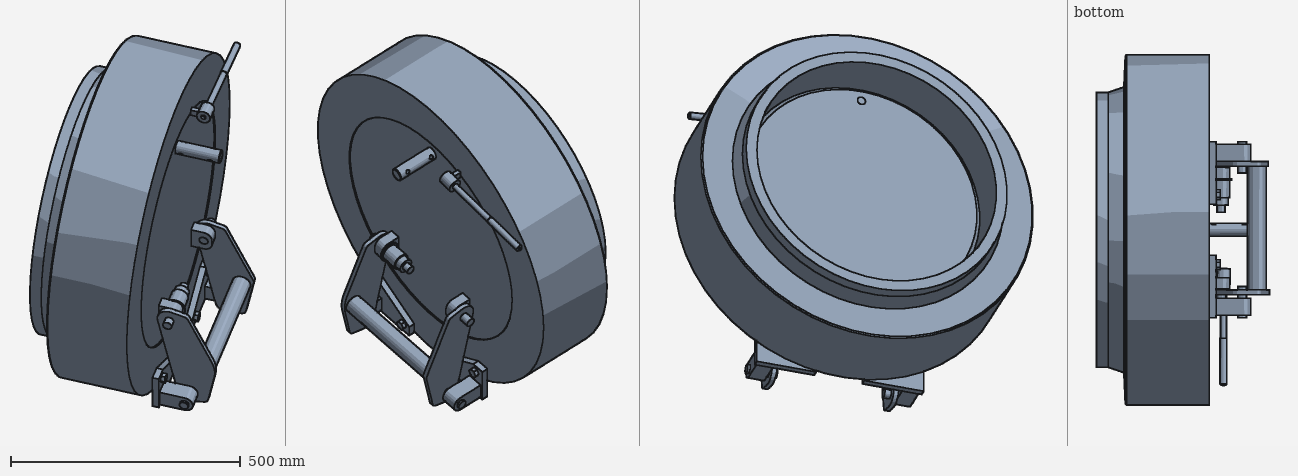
import cadquery as cq
import math


housing_radius = 382.0
back_x = 246.0
bore_radius = 275.0
neck_radius = 300.0
neck_length = 26.0
flare_end_x = 60.0
flare_end_radius = 311.0
shoulder_x = 63.0
rim_chamfer = 3.0

lever_x = 277.0
lever_z = 259.0
lever_y = 102.0
lever_tilt = 5
collar_radius = 15.0
collar_length = 33.0
collar_hole_radius = 5.0
collar_hole_depth = 8.0
rod_radius = 7.0
grip_radius = 8.0
grip_start = 135.0
grip_end = 238.0
grip_chamfer = 3.0
stub_inner_y = 92.0
stub_outer_y = 102.0
stub_height = 15.0

door_front_x = 103.0
door_back_x = 243.0
door_chamfer = 10.0

vent_z = 241.5
vent_radius = 14.5
vent_end_x = 343.5
vent_shank_radius = 9.0
vent_end_chamfer = 1.5
vent_hole_diameter = 9.0
vent_hole_xs = (255.0, 322.0)
vent_hole_tilt = 25

door_axis_x = 271.5
door_axis_z = -147.0
bracket_axis_x = 317.5
bracket_axis_z = -357.0
hinge_pin_radius = 10.0

door_lug_thickness = 24.5
door_lug_gap = 2.0
door_lug_half_height = 25.0
door_lug_round = 19.0

plate_thickness = 14.5
plate_inner_y = 55.0
plate_outer_y = 192.0
plate_slope_y = 161.0
plate_bottom_z = -380.0
plate_top_z = -291.5
plate_inner_top_z = -353.0
bracket_lug_inner_y = 149.0
bracket_lug_outer_y = 186.0
bracket_lug_radius = 19.0
bolt_head_flats = 19.0
bolt_head_height = 9.0
bolt_places = ((169.0, -309.0), (76.0, -359.0))

arm_thickness = 11.0
arm_inner_y = {1: 131.0, -1: -138.0}
arm_tip_round = {1: 11.5, -1: 77.0}
arm_end_radius = 27.5
arm_top_corner = (311.0, -126.5)
arm_tip = (378.0, -270.0)
arm_bottom_corner = (358.0, -376.5)
arm_corner_round = 11.5
tube_radius = 21.0
tube_x = 350.0
tube_z = -284.0
bracket_pin_inner_y = 123.5
bracket_pin_outer_y = 192.0
door_pin_outer_y = 165.0
hinge_stack = ((24.0, 4.0), (19.0, 37.5), (16.0, 16.0), (9.0, 16.0))


def y_cylinder(radius, x, z, y_start, y_end):
    """Cylinder along Y between two y places."""
    return cq.Workplane("XZ", origin=(x, y_start, z)).circle(radius).extrude(y_start - y_end)


def x_cylinder(radius, z, x_start, x_end):
    """Cylinder along X at y = 0."""
    return cq.Workplane("YZ", origin=(x_start, 0, z)).circle(radius).extrude(x_end - x_start)


def make_lever():
    """Collar, rod and grip, welded to the end of the housing by a short stub."""
    half_collar = collar_length / 2
    lever = (
        y_cylinder(collar_radius, 0, 0, -half_collar, half_collar)
        .cut(y_cylinder(collar_hole_radius, 0, 0, -half_collar, collar_hole_depth - half_collar))
        .union(y_cylinder(rod_radius, 0, 0, 0, grip_start))
        .union(y_cylinder(grip_radius, 0, 0, grip_start, grip_end).faces(">Y").chamfer(grip_chamfer))
        .rotate((0, 0, 0), (1, 0, 0), -lever_tilt)
        .translate((lever_x, lever_y, lever_z))
    )
    stub = cq.Workplane("XY", origin=(back_x, stub_inner_y, lever_z)).box(
        lever_x - back_x, stub_outer_y - stub_inner_y, stub_height, centered=(False, False, True)
    )
    return lever.union(stub)


def make_housing():
    profile = [
        (0, bore_radius),
        (0, neck_radius),
        (neck_length, neck_radius),
        (flare_end_x, flare_end_radius),
        (shoulder_x, housing_radius - rim_chamfer),
        (shoulder_x + rim_chamfer, housing_radius),
        (back_x, housing_radius),
        (back_x, bore_radius),
    ]
    housing = cq.Workplane("XY").polyline(profile).close().revolve(360, (0, 0, 0), (1, 0, 0))
    return housing.union(make_lever())


def door_lug_inner_y(side):
    return arm_inner_y[side] - side * (door_lug_gap + door_lug_thickness)


def make_door_lug(side):
    inner_y = door_lug_inner_y(side)
    outer_y = inner_y + side * door_lug_thickness
    lug = (
        cq.Workplane("XY", origin=(door_back_x, (inner_y + outer_y) / 2, door_axis_z))
        .box(
            door_axis_x + door_lug_round - door_back_x,
            door_lug_thickness,
            2 * door_lug_half_height,
            centered=(False, True, True),
        )
        .edges(">X and |Y")
        .fillet(door_lug_round)
    )
    return lug.cut(y_cylinder(hinge_pin_radius, door_axis_x, door_axis_z, inner_y, outer_y))


def make_door():
    door = x_cylinder(bore_radius, 0, door_front_x, door_back_x).faces("<X").chamfer(door_chamfer)
    for side in (1, -1):
        door = door.union(make_door_lug(side))
    return door.cut(x_cylinder(vent_shank_radius, vent_z, door_front_x, door_back_x))


def make_vent_pin():
    pin = (
        x_cylinder(vent_radius, vent_z, door_back_x, vent_end_x)
        .faces(">X")
        .chamfer(vent_end_chamfer)
        .union(x_cylinder(vent_shank_radius, vent_z, door_front_x, door_back_x))
    )
    for x in vent_hole_xs:
        hole = y_cylinder(vent_hole_diameter / 2, x, vent_z, -2 * vent_radius, 2 * vent_radius)
        pin = pin.cut(hole.rotate((0, 0, vent_z), (1, 0, vent_z), vent_hole_tilt))
    return pin


def make_bracket(side):
    plate_profile = [
        (side * plate_inner_y, plate_bottom_z),
        (side * plate_inner_y, plate_inner_top_z),
        (side * plate_slope_y, plate_top_z),
        (side * plate_outer_y, plate_top_z),
        (side * plate_outer_y, plate_bottom_z),
    ]
    bracket = (
        cq.Workplane("YZ", origin=(back_x, 0, 0)).polyline(plate_profile).close().extrude(plate_thickness)
    )
    lug_inner = side * bracket_lug_inner_y
    lug_outer = side * bracket_lug_outer_y
    lug_bar = cq.Workplane("XY", origin=(back_x, (lug_inner + lug_outer) / 2, bracket_axis_z)).box(
        bracket_axis_x - back_x,
        bracket_lug_outer_y - bracket_lug_inner_y,
        2 * bracket_lug_radius,
        centered=(False, True, True),
    )
    lug_end = y_cylinder(bracket_lug_radius, bracket_axis_x, bracket_axis_z, lug_inner, lug_outer)
    hole = y_cylinder(hinge_pin_radius, bracket_axis_x, bracket_axis_z, lug_inner, lug_outer)
    bracket = bracket.union(lug_bar).union(lug_end).cut(hole)
    for y, z in bolt_places:
        head = (
            cq.Workplane("YZ", origin=(back_x + plate_thickness, side * y, z))
            .polygon(6, bolt_head_flats / math.cos(math.radians(30)))
            .extrude(bolt_head_height)
        )
        bracket = bracket.union(head)
    return bracket


def make_arm(side):
    """Flat arm: two round ends around the hinge axes and a pointed bulge on the outer side."""
    lean = math.atan2(bracket_axis_x - door_axis_x, door_axis_z - bracket_axis_z)
    left_x = -arm_end_radius * math.cos(lean)
    left_z = -arm_end_radius * math.sin(lean)
    start_y = arm_inner_y[side] + max(side, 0) * arm_thickness
    plane = cq.Workplane("XZ", origin=(0, start_y, 0))
    body = (
        plane.moveTo(door_axis_x + left_x, door_axis_z + left_z)
        .lineTo(door_axis_x - left_z, door_axis_z - left_x)
        .lineTo(*arm_top_corner)
        .lineTo(*arm_tip)
        .lineTo(*arm_bottom_corner)
        .lineTo(bracket_axis_x - left_z, bracket_axis_z + left_x)
        .lineTo(bracket_axis_x + left_x, bracket_axis_z + left_z)
        .close()
        .extrude(arm_thickness)
    )
    for corner, radius in (
        (arm_top_corner, arm_corner_round),
        (arm_tip, arm_tip_round[side]),
        (arm_bottom_corner, arm_corner_round),
    ):
        place = (corner[0], start_y, corner[1])
        body = body.edges("|Y").edges(cq.selectors.NearestToPointSelector(place)).fillet(radius)
    for x, z in ((door_axis_x, door_axis_z), (bracket_axis_x, bracket_axis_z)):
        body = body.union(plane.center(x, z).circle(arm_end_radius).extrude(arm_thickness))
    return body


def make_swing_frame():
    frame = y_cylinder(tube_radius, tube_x, tube_z, arm_inner_y[-1], arm_inner_y[1])
    for side in (1, -1):
        bracket_pin = y_cylinder(
            hinge_pin_radius,
            bracket_axis_x,
            bracket_axis_z,
            side * bracket_pin_inner_y,
            side * bracket_pin_outer_y,
        )
        door_pin = y_cylinder(
            hinge_pin_radius,
            door_axis_x,
            door_axis_z,
            door_lug_inner_y(side),
            side * door_pin_outer_y,
        )
        frame = frame.union(make_arm(side)).union(bracket_pin).union(door_pin)
    stack_y = door_lug_inner_y(-1)
    for radius, length in hinge_stack:
        frame = frame.union(y_cylinder(radius, door_axis_x, door_axis_z, stack_y, stack_y + length))
        stack_y += length
    return frame


housing = make_housing()
door = make_door()
vent_pin = make_vent_pin()
swing_frame = make_swing_frame()
brackets = [make_bracket(side) for side in (1, -1)]

result = cq.Compound.makeCompound(
    [housing.val(), door.val(), vent_pin.val(), swing_frame.val(), *[bracket.val() for bracket in brackets]]
)